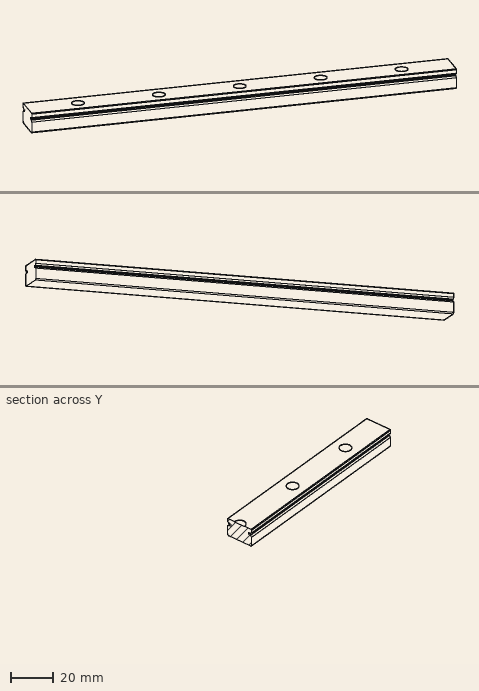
import cadquery as cq

length = 210.0
width = 15.0
height = 10.0

track_bottom_z = 5.7
track_top_z = 8.0
track_depth = 0.8
slot_width = 0.8
slot_depth = 2.0

top_chamfer = 0.38
bottom_chamfer = 0.6

recess_count = 5
end_margin = 25.0
recess_diameter = 6.0
recess_depth = 0.2


def rail_blank():
    """Rectangular bar centred on X = 0 and Y = 0, with its four long edges chamfered."""
    bar = cq.Workplane("XY").box(width, length, height, centered=(True, True, False))
    bar = bar.edges("|Y and >Z").chamfer(top_chamfer)
    return bar.edges("|Y and <Z").chamfer(bottom_chamfer)


def side_groove(side):
    """Cutter for the groove along the +X (side = 1) or -X (side = -1) face."""
    face_x = side * width / 2
    centre_z = (track_bottom_z + track_top_z) / 2
    track = (
        cq.Workplane("XZ")
        .moveTo(face_x, track_bottom_z)
        .threePointArc((face_x - side * track_depth, centre_z), (face_x, track_top_z))
        .close()
        .extrude(length / 2, both=True)
    )
    slot = cq.Workplane("XY", origin=(face_x, 0, centre_z)).box(2 * slot_depth, length, slot_width)
    return track.union(slot)


def top_recesses():
    """Cutters for the recesses, evenly spaced about the middle of the rail."""
    pitch = (length - 2 * end_margin) / (recess_count - 1)
    return (
        cq.Workplane("XY", origin=(0, 0, height))
        .rarray(2, pitch, 1, recess_count)
        .circle(recess_diameter / 2)
        .extrude(-recess_depth)
    )


result = rail_blank().cut(top_recesses())
for side in (1, -1):
    result = result.cut(side_groove(side))